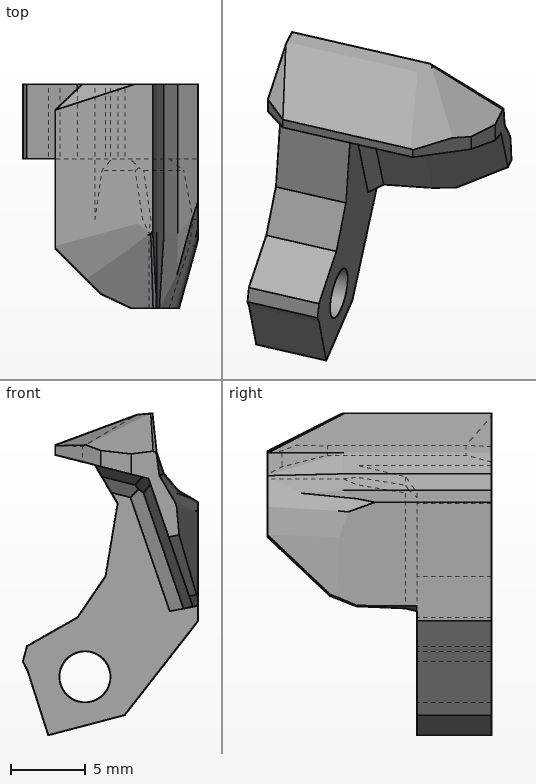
import cadquery as cq

DEPTH = 15.0
PLATE = 5.0
HOLE_DIAMETER = 3.4
TIP_Y = -DEPTH
PLATE_Y = -PLATE
CUTTER_SIZE = 80.0

BACK_X = 7.58
HEIGHT = 21.56
TOP_Z = 17.64
LIP_X = -1.99
LIP_TOP_Z = 15.51
LIP_BOTTOM_Z = 14.84
UNDERSIDE_SLOPE = -0.252
STEM_SLANT = -0.3456
STEM_BOTTOM_SLOPE = 0.19
NECK_X = 0.66

PEAK = (4.53, TOP_Z)
BROW = (3.5, 17.55)
BACK_UPPER = (4.81, 15.0)
BACK_MIDDLE = (5.29, 13.58)
BACK_LOWER = (6.22, 12.49)
BACK_CORNER = (BACK_X, 11.68)

POCKET_MOUTH = (PLATE_Y, 7.19, 12.77)
POCKET_STEP = (-5.77, 8.17, 13.68)
POCKET_FLARE_Y = -9.03
STEM_OFFSET = 8.84

STEM_END_X = 7.18
STEM_END_BENDS = [(PLATE_Y, 4.67), (POCKET_FLARE_Y, 4.70), (-10.8, 5.44), (TIP_Y, 9.66)]

RIM_REAR = (LIP_X, -1.73)
RIM_REAR_END = (-0.18, 0.0)
RIM_FRONT = (LIP_X, -11.0)
RIM_BEND = (1.06, -14.04)
RIM_TIP = (3.09, TIP_Y)

RIDGE_TIP = (4.77, TIP_Y, 14.99)
SHOULDER_TIP = (4.98, TIP_Y, 13.46)

UP = cq.Vector(0, 0, 1)
DOWN = cq.Vector(0, 0, -1)
TO_LIP = cq.Vector(-1, 0, 0)
TO_BACK = cq.Vector(1, 0, 0)
TO_TIP = cq.Vector(0, -1, 0)


def at(xz, y):
    """Point of the XZ outline placed at depth y."""
    return (xz[0], y, xz[1])


def underside_z(x):
    return LIP_BOTTOM_Z + UNDERSIDE_SLOPE * (x - LIP_X)


def beyond(a, b, c, side):
    """Large block bounded by the plane through a, b, c and lying on the given side of it."""
    origin = cq.Vector(*a)
    x_dir = cq.Vector(*b) - origin
    normal = x_dir.cross(cq.Vector(*c) - origin)
    if normal.dot(side) < 0:
        normal = normal * -1
    plane = cq.Plane(origin, x_dir, normal)
    return cq.Workplane(plane).rect(CUTTER_SIZE, CUTTER_SIZE).extrude(CUTTER_SIZE)


def beyond_y(y):
    """Everything nearer to the tip than y."""
    return beyond((0, y, 0), (1, y, 0), (0, y, 1), TO_TIP)


def beyond_z(z, side):
    return beyond((0, 0, z), (1, 0, z), (0, 1, z), side)


def common(blocks):
    """Region shared by all blocks."""
    region = blocks[0]
    for block in blocks[1:]:
        region = region.intersect(block)
    return region


def profile_body():
    """Arm, neck and head outline extruded over the full depth."""
    outline = [
        (-2.46, TOP_Z - HEIGHT),
        (-3.85, 0.42),
        (-4.16, 1.03),
        (-3.89, 2.05),
        (-0.5, 3.98),
        (1.37, 6.73),
        (2.18, 11.6),
        (NECK_X, underside_z(NECK_X)),
        (LIP_X, LIP_BOTTOM_Z),
        (LIP_X, LIP_TOP_Z),
        BROW,
        PEAK,
        BACK_UPPER,
        BACK_MIDDLE,
        BACK_LOWER,
        BACK_CORNER,
        (BACK_X, 3.74),
        (2.66, -2.57),
    ]
    return cq.Workplane("XZ").polyline(outline).close().extrude(DEPTH)


def pocket():
    """Hollow under the head and in front of the stem, widening in steps toward the tip."""

    def stem_point(offset, y, z):
        return (offset + STEM_SLANT * z, y, z)

    def stem_wall(offset_1, y_1, offset_2, y_2):
        low = stem_point(offset_1, y_1, 0)
        high = stem_point(offset_1, y_1, 1)
        return beyond(low, high, stem_point(offset_2, y_2, 0), TO_LIP)

    def head_wall(height_1, y_1, height_2, y_2):
        start = (0, y_1, height_1)
        end = (1, y_1, height_1 + UNDERSIDE_SLOPE)
        return beyond(start, end, (0, y_2, height_2), DOWN)

    mouth_y, mouth_offset, mouth_height = POCKET_MOUTH
    step_y, step_offset, step_height = POCKET_STEP
    underside_height = underside_z(0)
    chamfer_roof = (3.3, step_y, 12.88)
    chamfer_wall = (3.92, step_y, 12.31)
    chamfer_end = (4.23, -10.0, 13.31)
    corner_chamfer = beyond(chamfer_roof, chamfer_wall, chamfer_end, DOWN)
    return common([
        beyond_y(mouth_y),
        stem_wall(mouth_offset, mouth_y, step_offset, step_y),
        stem_wall(step_offset, step_y, STEM_OFFSET, POCKET_FLARE_Y),
        stem_wall(STEM_OFFSET, POCKET_FLARE_Y, STEM_OFFSET, TIP_Y),
        head_wall(mouth_height, mouth_y, step_height, step_y),
        head_wall(step_height, step_y, underside_height, POCKET_FLARE_Y),
        head_wall(underside_height, POCKET_FLARE_Y, underside_height, TIP_Y),
        corner_chamfer,
    ])


def below_stem():
    """Blocks that end the stem: a nearly level ramp, a shallow ramp and a steep ramp up to the tip."""
    blocks = []
    for (y_1, z_1), (y_2, z_2) in zip(STEM_END_BENDS, STEM_END_BENDS[1:]):
        start = (STEM_END_X, y_1, z_1)
        across = (STEM_END_X + 1, y_1, z_1 + STEM_BOTTOM_SLOPE)
        ramp = beyond(start, across, (STEM_END_X, y_2, z_2), DOWN)
        blocks.append(ramp.intersect(beyond_y(PLATE_Y)))
    return blocks


def rim_corners():
    """Upright cuts on the rim of the head, kept above its underside."""
    above = beyond((0, 0, underside_z(0)), (1, 0, underside_z(1)), (0, 1, underside_z(0)), UP)
    edges = [
        (RIM_REAR, RIM_REAR_END, TO_LIP),
        (RIM_FRONT, RIM_BEND, TO_LIP),
        (RIM_BEND, RIM_TIP, TO_TIP),
    ]
    blocks = []
    for (x_1, y_1), (x_2, y_2), side in edges:
        wall = beyond((x_1, y_1, 0), (x_2, y_2, 0), (x_1, y_1, 1), side)
        blocks.append(wall.intersect(above))
    return blocks


def head_slopes():
    """Sloping faces on top of the head: rear corner, front corner, crest, front and ridge."""
    front_bend = (0.1, -13.06, 15.52)
    crest = (4.25, -10.07, 17.57)
    brow_end = at(BROW, -9.33)
    tip_crest = (4.56, TIP_Y, 15.1)
    ridge_start = (4.36, -10.1, 17.6)
    crest_back = (4.36, -9.85, 17.625)
    rear_crest = (3.32, 0, 17.48)
    return [
        beyond((*RIM_REAR, LIP_TOP_Z), rear_crest, (*RIM_REAR_END, 15.41), UP),
        beyond(front_bend, crest, brow_end, UP),
        beyond(brow_end, crest_back, crest, UP),
        beyond(front_bend, crest, tip_crest, UP),
        beyond(tip_crest, RIDGE_TIP, ridge_start, UP),
    ]


def back_hollow():
    """Deepening of the concave back toward the tip."""
    start_y = -9.94
    upper = at(BACK_UPPER, start_y)
    middle = at(BACK_MIDDLE, start_y)
    lower = at(BACK_LOWER, start_y)
    lower_rear = (7.1, -9.27, 11.95)
    lower_front = (6.2, -12.98, 12.24)
    return common([
        beyond_z(BACK_UPPER[1], DOWN),
        beyond(upper, RIDGE_TIP, SHOULDER_TIP, TO_BACK),
        beyond(upper, middle, SHOULDER_TIP, TO_BACK),
        beyond(middle, lower, SHOULDER_TIP, UP),
        beyond(lower, lower_rear, lower_front, UP),
    ])


def back_taper():
    """Planes that narrow the back of the stem toward the tip."""
    shoulder_bottom = (6.0, TIP_Y, 11.75)
    waist_top = (6.13, TIP_Y, 11.39)
    waist_tip = (6.3, TIP_Y, 9.5)
    waist_back = (BACK_X, -10.17, 9.36)
    shoulder = beyond(SHOULDER_TIP, shoulder_bottom, at(BACK_CORNER, -7.8), TO_BACK)
    shoulder_edge = beyond(shoulder_bottom, waist_top, (BACK_X, -9.6, 11.05), TO_BACK)
    below_shoulder = beyond_z(SHOULDER_TIP[2], DOWN)
    return [
        shoulder.intersect(below_shoulder),
        shoulder_edge.intersect(below_shoulder),
        beyond(waist_tip, waist_back, waist_top, TO_BACK),
        beyond(waist_tip, waist_back, (7.47, -10.8, 5.47), TO_BACK),
    ]


body = profile_body().cut(pocket()).cut(back_hollow())
for block in below_stem() + rim_corners() + head_slopes() + back_taper():
    body = body.cut(block)
hole = cq.Workplane("XZ").circle(HOLE_DIAMETER / 2).extrude(PLATE)
result = body.cut(hole)